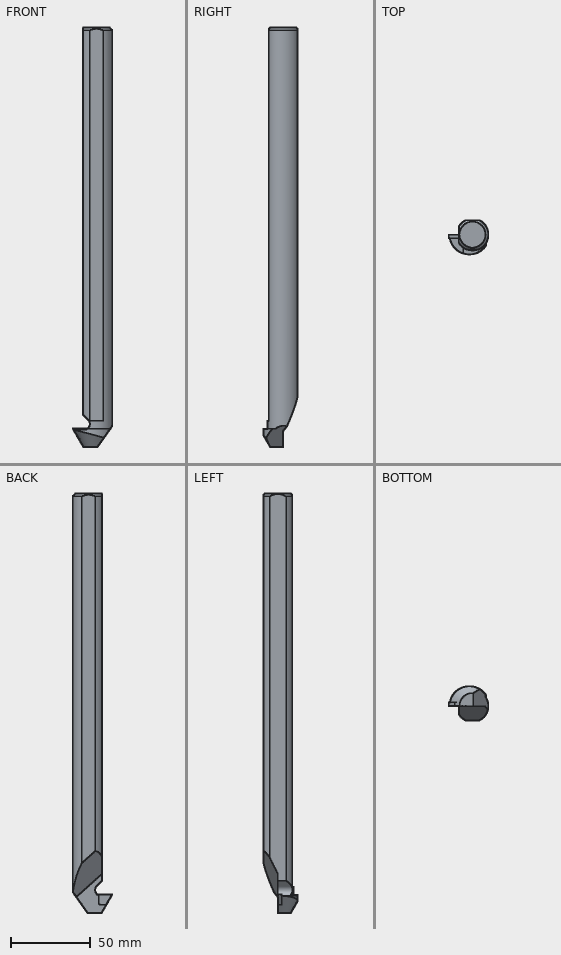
import cadquery as cq
import math

overall_length = 262.9
shank_radius = 10.0
side_flat = 8.55
front_back_flat = 9.07
flats_end = 16.5
end_chamfer = 1.8

head_top = 11.5
head_radius = 12.49
head_center_x = -1.97
cone_tip_radius = 15.0
cone_foot_radius = 8.1
cone_height = 11.8
clearance_foot = 0.5
clearance_top = 13.5

slot_radius = 3.55
slot_floor = 11.0
slot_wall = -4.2

ramp_start = 24.7
ramp_rise_y = 2.0
ramp_fall_x = 0.9

insert_thickness = 2.4
insert_bottom = 5.3
insert_inner_x = -6.3
insert_corner_radius = 1.45

margin = 5.3


def make_shank():
    """Flatted bar above a full-round neck, with a chamfered upper end."""
    bar = cq.Workplane("XY").circle(shank_radius).extrude(overall_length).faces(">Z").chamfer(end_chamfer)
    flats = cq.Workplane("XY").box(
        side_flat + shank_radius, 2 * front_back_flat, overall_length - flats_end,
        centered=(False, True, False),
    ).translate((-side_flat, 0, flats_end))
    neck = cq.Workplane("XY").circle(shank_radius).extrude(flats_end)
    return bar.intersect(flats.union(neck))


def make_cone():
    """Full cone of the cutting edge, widest at the top."""
    profile = [(0, 0), (cone_foot_radius, 0), (cone_tip_radius, cone_height), (0, cone_height)]
    return cq.Workplane("XZ").polyline(profile).close().revolve(360, (0, 0, 0), (0, 1, 0))


def make_head(cone):
    """Cone trimmed by the off-center collar, so that it is relieved behind the cutting tip."""
    collar = cq.Workplane("XY").center(head_center_x, 0).circle(head_radius).extrude(head_top)
    return cone.intersect(collar)


def make_clearance_cut():
    """Wedge below the sloping clearance face on the +X side."""
    slope = (shank_radius - clearance_foot) / clearance_top
    far_x = cone_tip_radius + margin
    profile = [(clearance_foot - slope * margin, -margin), (far_x, -margin),
               (far_x, clearance_top), (shank_radius, clearance_top)]
    return cq.Workplane("XZ").polyline(profile).close().extrude(cone_tip_radius + margin, both=True)


def make_slot_cut():
    """Slot with a flat floor, a round end and a roof rising at 45 degrees."""
    center_x = slot_wall - slot_radius
    center_z = slot_floor + slot_radius
    far_x = -cone_tip_radius - margin
    diagonal = slot_radius * math.sqrt(0.5)
    roof_x = center_x + diagonal
    roof_z = center_z + diagonal
    return (
        cq.Workplane("XZ")
        .moveTo(far_x, slot_floor)
        .lineTo(center_x, slot_floor)
        .threePointArc((slot_wall, center_z), (roof_x, roof_z))
        .lineTo(far_x, roof_z + roof_x - far_x)
        .close()
        .extrude(cone_tip_radius + margin, both=True)
    )


def make_chip_face_cut():
    """Space in front of the rake face and below the tilted slope."""
    reach = cone_tip_radius + margin

    def slope_height(x, y):
        return ramp_start + ramp_rise_y * y - ramp_fall_x * (x + side_flat)

    def section(x):
        corners = [(x, 0, -margin), (x, reach, -margin),
                   (x, reach, slope_height(x, reach)), (x, 0, slope_height(x, 0))]
        return cq.Wire.makePolygon([cq.Vector(*corner) for corner in corners], close=True)

    return cq.Workplane(cq.Solid.makeLoft([section(-reach), section(reach)], True))


def make_insert(cone):
    """Plate in the rake face, ground to the cone and rounded at its inner lower corner."""
    blank = cq.Workplane("XY").box(
        cone_tip_radius + insert_inner_x, insert_thickness, cone_height - insert_bottom, centered=False
    ).translate((-cone_tip_radius, -insert_thickness, insert_bottom))
    return blank.edges("|Y and >X and <Z").fillet(insert_corner_radius).intersect(cone)


edge_cone = make_cone()
insert = make_insert(edge_cone)
holder = (
    make_shank()
    .cut(cq.Workplane("XY").circle(shank_radius + margin).extrude(head_top))
    .union(make_head(edge_cone))
    .cut(make_clearance_cut())
    .cut(make_slot_cut())
    .cut(make_chip_face_cut())
    .cut(insert)
)

result = cq.Compound.makeCompound([holder.val(), insert.val()])